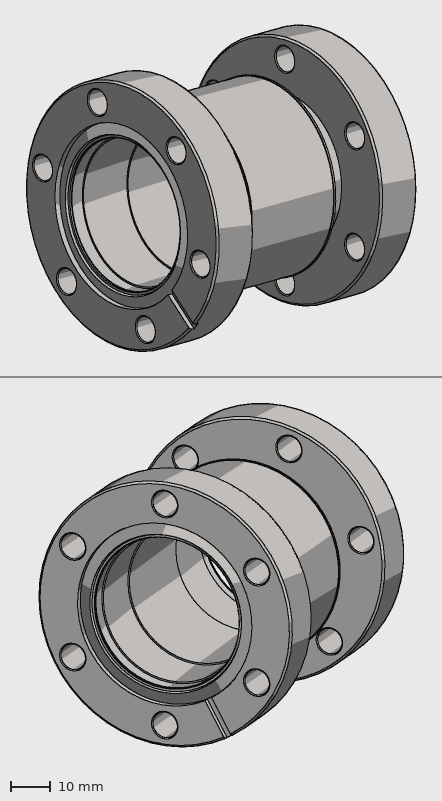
import cadquery as cq
import math


length = 70.0
half_length = length / 2
flange_radius = length / 2
flange_thickness = 12.75
rim_chamfer = 0.55
tube_socket_depth = 5.45

recess_radius = 24.1
recess_depth = 1.7
knife_radius = 20.9
knife_depth = 0.55
knife_foot_radius = 20.65
land_radius = 20.0
land_depth = 1.25
bore_edge_depth = 1.8
flange_bore_radius = 19.8

bolt_count = 6
bolt_pitch = 360 / bolt_count
bolt_circle_radius = 29.3
bolt_hole_radius = 3.35
bolt_hole_chamfer = 0.3
slot_width = 2.1
slot_depth = 1.4
slot_overlap = 0.15
front_flange_turn = 17.3

tube_radius = 20.65
tube_bore_radius = 19.4
collar_radius = 26.2
collar_face_radius = 21.9
collar_end = 16.1
collar_rim_end = 14.9
waist_bore_radius = 19.0

sleeve_half_length = 14.35
sleeve_radius = 26.0


def revolve_about_y(profile):
    """Solid of revolution about Y from (station, radius) points."""
    return cq.Workplane("YZ").polyline(profile).close().revolve(360, (0, 0, 0), (1, 0, 0))


def make_flange_blank(face, back):
    return revolve_about_y([
        (face, recess_radius),
        (face, flange_radius - rim_chamfer),
        (face + rim_chamfer, flange_radius),
        (back - rim_chamfer, flange_radius),
        (back, flange_radius - rim_chamfer),
        (back, tube_radius),
        (face + tube_socket_depth, tube_radius),
        (face + tube_socket_depth, flange_bore_radius),
        (face + bore_edge_depth, flange_bore_radius),
        (face + bore_edge_depth, land_radius),
        (face + land_depth, land_radius),
        (face + land_depth, knife_foot_radius),
        (face + knife_depth, knife_radius),
        (face + recess_depth, recess_radius),
    ])


def make_bolt_hole(face, back):
    """Cutter for one bolt hole on the Y axis, chamfered at both ends."""
    mouth_radius = bolt_hole_radius + bolt_hole_chamfer
    return revolve_about_y([
        (face, 0),
        (face, mouth_radius),
        (face + bolt_hole_chamfer, bolt_hole_radius),
        (back - bolt_hole_chamfer, bolt_hole_radius),
        (back, mouth_radius),
        (back, 0),
    ])


def make_leak_slot(face):
    """Cutter for the radial slot from the recess to the rim, midway between two bolt holes."""
    start = recess_radius - slot_overlap
    return (
        cq.Workplane("XY")
        .box(flange_radius - start, slot_depth, slot_width, centered=(False, False, True))
        .translate((start, face, 0))
        .rotate((0, 0, 0), (0, 1, 0), bolt_pitch)
    )


def make_flange():
    """Flange with its sealing face toward -Y."""
    face = -half_length
    back = face + flange_thickness
    flange = make_flange_blank(face, back)
    bolt_hole = make_bolt_hole(face, back)
    for i in range(bolt_count):
        angle = math.radians(bolt_pitch * (i + 0.5))
        x = bolt_circle_radius * math.cos(angle)
        z = bolt_circle_radius * math.sin(angle)
        flange = flange.cut(bolt_hole.translate((x, 0, z)))
    return flange.cut(make_leak_slot(face))


def make_spool():
    tube_end = half_length - tube_socket_depth
    rear_half = [
        (sleeve_half_length, waist_bore_radius),
        (sleeve_half_length, tube_bore_radius),
        (tube_end, tube_bore_radius),
        (tube_end, tube_radius),
        (collar_end, tube_radius),
        (collar_end, collar_face_radius),
        (collar_rim_end, collar_radius),
        (sleeve_half_length, collar_radius),
        (sleeve_half_length, tube_radius),
    ]
    front_half = [(-station, radius) for station, radius in reversed(rear_half)]
    return revolve_about_y(rear_half + front_half)


def make_sleeve():
    return revolve_about_y([
        (-sleeve_half_length, tube_radius),
        (-sleeve_half_length, sleeve_radius),
        (sleeve_half_length, sleeve_radius),
        (sleeve_half_length, tube_radius),
    ])


front_flange = make_flange().rotate((0, 0, 0), (0, 1, 0), -front_flange_turn)
rear_flange = make_flange().rotate((0, 0, 0), (0, 0, 1), 180)
spool = make_spool()
sleeve = make_sleeve()

result = cq.Compound.makeCompound([
    front_flange.val(),
    rear_flange.val(),
    spool.val(),
    sleeve.val(),
])